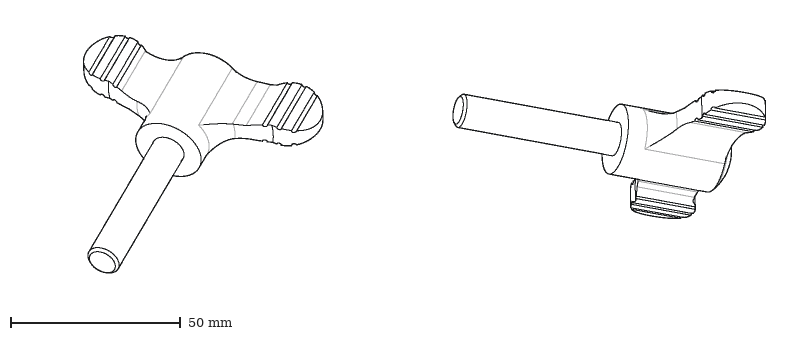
import cadquery as cq
import math

HUB_RADIUS = 21.0 / 2
HUB_LENGTH = 31.3
RIM_HEIGHT = 0.5
DOME_RADIUS = 10.0
DOME_HEIGHT = 3.9
OVERALL_LENGTH = 85.6
STUD_RADIUS = 10.0 / 2
STUD_CHAMFER = 0.85
DOME_BASE_Y = HUB_LENGTH + RIM_HEIGHT
HEAD_LENGTH = DOME_BASE_Y + DOME_HEIGHT
STUD_LENGTH = OVERALL_LENGTH - HEAD_LENGTH

TIP_X = 37.5
GRIP_RADIUS = 9.5
GRIP_X = TIP_X - GRIP_RADIUS
GRIP_Y = HEAD_LENGTH - GRIP_RADIUS
REAR_EDGE_X = 21.2
FRONT_EDGE_X = 26.4
FRONT_EDGE_ANGLE = 18.8
ROOT_RADIUS = 7.7
ROOT_Y = 6.0
SEAM_ANGLE = 180

UPPER_TANGENT_ANGLE = 47
UPPER_FLAT_START = (14.8, 4.4)
UPPER_FLAT_END = (18.75, 4.1)
UPPER_CREST = (25.4, 4.8)
UPPER_TIP = (TIP_X, 2.6)
LOWER_TANGENT_ANGLE = -36.3
LOWER_HOLLOW_END = (21.4, -1.8)
LOWER_CREST = (28.5, -2.4)
LOWER_TIP = (TIP_X, -1.1)

GROOVE_RADIUS = 0.7
GROOVE_PITCH = 4.3
GROOVE_OFFSETS = (-GROOVE_PITCH, 0, GROOVE_PITCH)
GROOVE_MIDDLE_X = 28.25


def make_hub():
    """Cylinder with a bevelled rim and a domed rear end, revolved about Y."""
    sphere_radius = (DOME_RADIUS**2 + DOME_HEIGHT**2) / (2 * DOME_HEIGHT)
    mid_radius = DOME_RADIUS / 2
    mid_y = HEAD_LENGTH - sphere_radius + math.sqrt(sphere_radius**2 - mid_radius**2)
    return (
        cq.Workplane("XY")
        .lineTo(HUB_RADIUS, 0)
        .lineTo(HUB_RADIUS, HUB_LENGTH)
        .lineTo(DOME_RADIUS, DOME_BASE_Y)
        .threePointArc((mid_radius, mid_y), (0, HEAD_LENGTH))
        .close()
        .revolve(360, (0, 0, 0), (0, 1, 0))
    )


def make_stud():
    return (
        cq.Workplane("XZ")
        .circle(STUD_RADIUS)
        .extrude(STUD_LENGTH)
        .faces("<Y")
        .chamfer(STUD_CHAMFER)
    )


def grip_half_chord(x):
    """Half the length along Y of the round grip at x."""
    return math.sqrt(GRIP_RADIUS**2 - (x - GRIP_X) ** 2)


def root_point(angle):
    """Point of the root arc, which starts along the hub at angle 0."""
    radians = math.radians(angle)
    x = HUB_RADIUS + ROOT_RADIUS * (1 - math.cos(radians))
    return (x, ROOT_Y + ROOT_RADIUS * math.sin(radians))


def make_wing_blank():
    """Wing outline revolved about Y, so every edge wall is a surface of revolution."""
    root_sweep = 90 - FRONT_EDGE_ANGLE
    return (
        cq.Workplane("XY")
        .moveTo(0, ROOT_Y)
        .lineTo(HUB_RADIUS, ROOT_Y)
        .threePointArc(root_point(root_sweep / 2), root_point(root_sweep))
        .lineTo(FRONT_EDGE_X, GRIP_Y - grip_half_chord(FRONT_EDGE_X))
        .threePointArc((TIP_X, GRIP_Y), (REAR_EDGE_X, GRIP_Y + grip_half_chord(REAR_EDGE_X)))
        .lineTo(HUB_RADIUS, HUB_LENGTH)
        .lineTo(0, HUB_LENGTH)
        .close()
        .revolve(360, (0, 0, 0), (0, 1, 0))
        .rotate((0, 0, 0), (0, 1, 0), SEAM_ANGLE)
    )


def hub_point(angle):
    """Point of the hub's circle in XZ."""
    radians = math.radians(angle)
    return (HUB_RADIUS * math.cos(radians), HUB_RADIUS * math.sin(radians))


def hollow_middle(angle, end):
    """Middle of the arc that leaves the hub tangentially at an angle and stops at end."""
    start_x, start_z = hub_point(angle)
    unit_x, unit_z = start_x / HUB_RADIUS, start_z / HUB_RADIUS
    chord_x, chord_z = end[0] - start_x, end[1] - start_z
    radius = (chord_x**2 + chord_z**2) / (2 * (chord_x * unit_x + chord_z * unit_z))
    center_x, center_z = start_x + radius * unit_x, start_z + radius * unit_z
    away_x = start_x + chord_x / 2 - center_x
    away_z = start_z + chord_z / 2 - center_z
    stretch = radius / math.hypot(away_x, away_z)
    return (center_x + stretch * away_x, center_z + stretch * away_z)


def make_wing_profile():
    """Thickness profile, swept along Y, whose hollow faces leave the hub tangentially."""
    upper_middle = hollow_middle(UPPER_TANGENT_ANGLE, UPPER_FLAT_START)
    lower_middle = hollow_middle(LOWER_TANGENT_ANGLE, LOWER_HOLLOW_END)
    return (
        cq.Workplane("XZ")
        .lineTo(*hub_point(UPPER_TANGENT_ANGLE))
        .threePointArc(upper_middle, UPPER_FLAT_START)
        .lineTo(*UPPER_FLAT_END)
        .threePointArc(UPPER_CREST, UPPER_TIP)
        .lineTo(*LOWER_TIP)
        .threePointArc(LOWER_CREST, LOWER_HOLLOW_END)
        .threePointArc(lower_middle, hub_point(LOWER_TANGENT_ANGLE))
        .close()
        .extrude(-HEAD_LENGTH)
    )


def arc_height(x, start, middle, end):
    """Height at x of the shallow arc through three points, bulging away from Z = 0."""
    (ax, az), (bx, bz), (cx, cz) = start, middle, end
    a2, b2, c2 = ax**2 + az**2, bx**2 + bz**2, cx**2 + cz**2
    d = 2 * (ax * (bz - cz) + bx * (cz - az) + cx * (az - bz))
    center_x = (a2 * (bz - cz) + b2 * (cz - az) + c2 * (az - bz)) / d
    center_z = (a2 * (cx - bx) + b2 * (ax - cx) + c2 * (bx - ax)) / d
    radius = math.hypot(ax - center_x, az - center_z)
    return center_z + math.copysign(math.sqrt(radius**2 - (x - center_x) ** 2), bz)


def make_grooves():
    """Round grooves centred on the crowned upper and lower grip faces."""
    centers = []
    for offset in GROOVE_OFFSETS:
        x = GROOVE_MIDDLE_X + offset
        centers.append((x, arc_height(x, UPPER_FLAT_END, UPPER_CREST, UPPER_TIP)))
        centers.append((x, arc_height(x, LOWER_HOLLOW_END, LOWER_CREST, LOWER_TIP)))
    return cq.Workplane("XZ").pushPoints(centers).circle(GROOVE_RADIUS).extrude(-HEAD_LENGTH)


grooved_profile = make_wing_profile().cut(make_grooves())
right_wing = make_wing_blank().intersect(grooved_profile)
left_wing = right_wing.rotate((0, 0, 0), (0, 1, 0), 180)
result = make_hub().union(make_stud()).union(right_wing).union(left_wing)